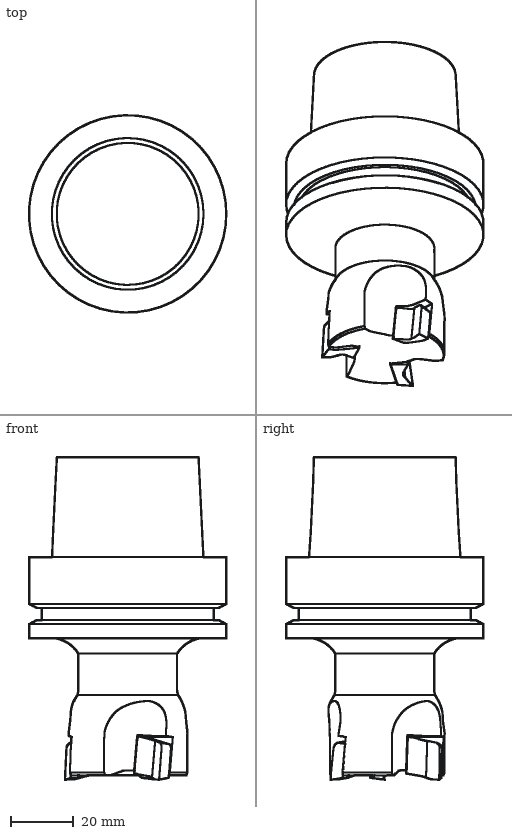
import cadquery as cq
import math

TOTAL_HEIGHT = 102.9

SHANK_TOP_RADIUS = 22.6
SHANK_BASE_RADIUS = 24.2
SHANK_BASE_Z = 71.0

FLANGE_RADIUS = 63.0 / 2
FLANGE_BOTTOM_Z = 45.1
GROOVE_RADIUS = 55.0 / 2
GROOVE_TOP_Z = 54.7
GROOVE_BOTTOM_Z = 50.9
GROOVE_CHAMFER_WIDTH = 2.5
GROOVE_CHAMFER_HEIGHT = 1.3

FLARE_RADIUS = 52.5 / 2
FLARE_MIDDLE_RADIUS = 19.3
FLARE_MIDDLE_Z = 43.7
NECK_RADIUS = 31.6 / 2
NECK_TOP_Z = 40.2

HEAD_FILLET_TOP_Z = 28.5
HEAD_FILLET_RADIUS = 16.1
HEAD_FILLET_BOTTOM_Z = 27.1
DOME_MIDDLE_RADIUS = 17.5
DOME_MIDDLE_Z = 24.5
DOME_BASE_RADIUS = 18.4
DOME_BASE_Z = 21.6
HEAD_MAX_RADIUS = 19.1
HEAD_MAX_Z = 14.8
HEAD_RADIUS = 19.0
HEAD_STRAIGHT_TOP_Z = 14.0
HEAD_BOTTOM_Z = 1.4
HEAD_CHAMFER_HEIGHT = 0.8
HEAD_CHAMFER_WIDTH = 0.3

DISH_OUTER_RADIUS = 16.5
DISH_INNER_RADIUS = 11.1
DISH_FLOOR_Z = 3.0

TOOTH_COUNT = 3
FIRST_TOOTH_ANGLE = -45.0
AXIAL_RAKE = 7.0
CUTTER_REACH = 30.9

FLUTE_FLOOR = 7.1
FLUTE_WALL = -3.5
FLUTE_RUNOUT_Z = 10.9
FLUTE_RUNOUT_RADIUS = 14.4
FLUTE_CORNER_RADIUS = 7.0

INSERT_INNER = 8.5
INSERT_OUTER = 19.3
SEAT = -0.3
POCKET_TOP_Z = 13.7
CHIP_FACE_INNER = (INSERT_INNER, -6.0)
CHIP_GROOVE_START = (12.3, -3.6)
CHIP_GROOVE_MIDDLE = (13.6, -3.3)
CHIP_GROOVE_END = (14.6, -3.7)
CUTTING_EDGE = (INSERT_OUTER, -5.1)
CLEARANCE_FACE_END = (18.8, SEAT)
INSERT_BOTTOM_INNER_Z = 2.0
INSERT_BOTTOM_STEP = (12.3, 0.9)
WIPER_START = 16.5
CORNER_WIDTH = 1.3
CORNER_BASE_Z = 10.1
CORNER_BULGE = (0.4, 1.2)
CORNER_TOP_Z = 12.1
INSERT_TOP_INNER_Z = 14.2
INSERT_RELIEF = 7.0


def tilt(body):
    """Lean a tooth feature back by the axial rake, about its radial axis."""
    return body.rotate((0, 0, 0), (1, 0, 0), -AXIAL_RAKE)


def at_tooth(body, index):
    """Turn a tooth feature to its station around the tool axis."""
    angle = FIRST_TOOTH_ANGLE + index * 360.0 / TOOTH_COUNT
    return body.rotate((0, 0, 0), (0, 0, 1), angle)


def turned_blank():
    chamfer_radius = FLANGE_RADIUS - GROOVE_CHAMFER_WIDTH
    return (
        cq.Workplane("XZ")
        .moveTo(0, TOTAL_HEIGHT)
        .lineTo(SHANK_TOP_RADIUS, TOTAL_HEIGHT)
        .lineTo(SHANK_BASE_RADIUS, SHANK_BASE_Z)
        .lineTo(FLANGE_RADIUS, SHANK_BASE_Z)
        .lineTo(FLANGE_RADIUS, GROOVE_TOP_Z + GROOVE_CHAMFER_HEIGHT)
        .lineTo(chamfer_radius, GROOVE_TOP_Z)
        .lineTo(GROOVE_RADIUS, GROOVE_TOP_Z)
        .lineTo(GROOVE_RADIUS, GROOVE_BOTTOM_Z)
        .lineTo(chamfer_radius, GROOVE_BOTTOM_Z)
        .lineTo(FLANGE_RADIUS, GROOVE_BOTTOM_Z - GROOVE_CHAMFER_HEIGHT)
        .lineTo(FLANGE_RADIUS, FLANGE_BOTTOM_Z)
        .lineTo(FLARE_RADIUS, FLANGE_BOTTOM_Z)
        .threePointArc((FLARE_MIDDLE_RADIUS, FLARE_MIDDLE_Z), (NECK_RADIUS, NECK_TOP_Z))
        .lineTo(NECK_RADIUS, HEAD_FILLET_TOP_Z)
        .lineTo(HEAD_FILLET_RADIUS, HEAD_FILLET_BOTTOM_Z)
        .threePointArc((DOME_MIDDLE_RADIUS, DOME_MIDDLE_Z), (DOME_BASE_RADIUS, DOME_BASE_Z))
        .lineTo(HEAD_MAX_RADIUS, HEAD_MAX_Z)
        .lineTo(HEAD_RADIUS, HEAD_STRAIGHT_TOP_Z)
        .lineTo(HEAD_RADIUS, HEAD_BOTTOM_Z + HEAD_CHAMFER_HEIGHT)
        .lineTo(HEAD_RADIUS - HEAD_CHAMFER_WIDTH, HEAD_BOTTOM_Z)
        .lineTo(DISH_OUTER_RADIUS, HEAD_BOTTOM_Z)
        .lineTo(DISH_INNER_RADIUS, DISH_FLOOR_Z)
        .lineTo(0, DISH_FLOOR_Z)
        .close()
        .revolve(360, (0, 0, 0), (0, 1, 0))
    )


def flute_cutter():
    """Side-milled flute whose floor curves out of the head, rounded into the tooth wall."""
    center_x = FLUTE_FLOOR + FLUTE_RUNOUT_RADIUS
    diagonal = FLUTE_RUNOUT_RADIUS * math.sqrt(0.5)
    runout_top = FLUTE_RUNOUT_Z + FLUTE_RUNOUT_RADIUS
    cutter = (
        cq.Workplane("XZ", origin=(0, FLUTE_WALL, 0))
        .moveTo(FLUTE_FLOOR, -CUTTER_REACH)
        .lineTo(FLUTE_FLOOR, FLUTE_RUNOUT_Z)
        .threePointArc((center_x - diagonal, FLUTE_RUNOUT_Z + diagonal), (center_x, runout_top))
        .lineTo(CUTTER_REACH, runout_top)
        .lineTo(CUTTER_REACH, -CUTTER_REACH)
        .close()
        .extrude(CUTTER_REACH)
    )
    floor_corner = cutter.faces(">Y").edges("<X or %CIRCLE")
    return tilt(floor_corner.fillet(FLUTE_CORNER_RADIUS))


def pocket_cutter():
    """Room in front of the insert seat, up to a ceiling square to it."""
    return tilt(
        cq.Workplane("XZ", origin=(0, SEAT, 0))
        .moveTo(INSERT_INNER, -CUTTER_REACH)
        .lineTo(INSERT_INNER, POCKET_TOP_Z)
        .lineTo(CUTTER_REACH, POCKET_TOP_Z)
        .lineTo(CUTTER_REACH, -CUTTER_REACH)
        .close()
        .extrude(SEAT - CHIP_FACE_INNER[1])
    )


def make_insert():
    """Tilted bar with a grooved chip face, trimmed to a side outline that narrows toward the seat."""
    bar = tilt(
        cq.Workplane("XY", origin=(0, 0, -CUTTER_REACH))
        .moveTo(INSERT_INNER, SEAT)
        .lineTo(*CHIP_FACE_INNER)
        .lineTo(*CHIP_GROOVE_START)
        .threePointArc(CHIP_GROOVE_MIDDLE, CHIP_GROOVE_END)
        .lineTo(*CUTTING_EDGE)
        .lineTo(*CLEARANCE_FACE_END)
        .close()
        .extrude(2 * CUTTER_REACH)
    )
    front = CHIP_FACE_INNER[1]
    tip = CUTTING_EDGE[1] / math.cos(math.radians(AXIAL_RAKE))
    growth = (tip - front) * math.tan(math.radians(INSERT_RELIEF))
    outer = INSERT_OUTER + growth
    bulge_inset, bulge_rise = CORNER_BULGE
    outline = (
        cq.Workplane("XZ", origin=(0, front, 0))
        .moveTo(0, INSERT_BOTTOM_INNER_Z)
        .lineTo(INSERT_INNER, INSERT_BOTTOM_INNER_Z)
        .lineTo(*INSERT_BOTTOM_STEP)
        .lineTo(WIPER_START, -growth)
        .lineTo(outer, -growth)
        .lineTo(outer, CORNER_BASE_Z)
        .threePointArc(
            (outer - bulge_inset, CORNER_BASE_Z + bulge_rise),
            (outer - CORNER_WIDTH, CORNER_TOP_Z),
        )
        .lineTo(INSERT_INNER, INSERT_TOP_INNER_Z)
        .lineTo(0, INSERT_TOP_INNER_Z)
        .close()
        .extrude(2 * front, taper=INSERT_RELIEF)
    )
    return bar.intersect(outline)


def make_holder():
    holder = turned_blank()
    for index in range(TOOTH_COUNT):
        holder = holder.cut(at_tooth(flute_cutter(), index))
        holder = holder.cut(at_tooth(pocket_cutter(), index))
    return holder


holder = make_holder()
inserts = [at_tooth(make_insert(), index) for index in range(TOOTH_COUNT)]

result = cq.Compound.makeCompound([holder.val(), *[insert.val() for insert in inserts]])